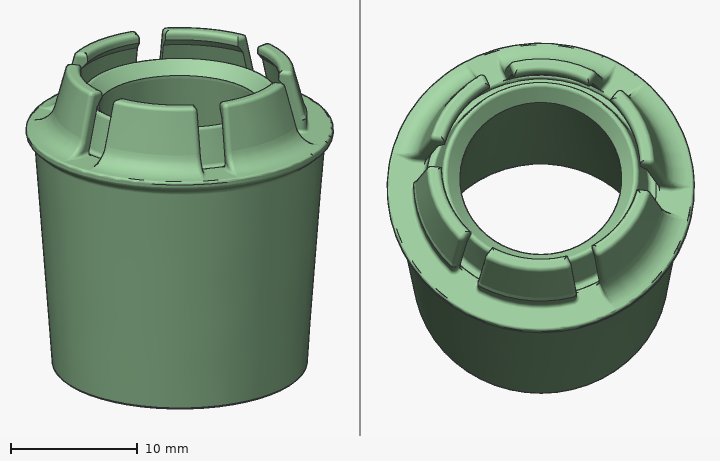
import cadquery as cq
import math

total_height = 25.0

body_top = 18.7
body_top_radius = 11.42
body_bottom_radius = 10.05
body_bottom_chamfer = 0.15

flange_top = 20.0
flange_radius = 12.1
flange_top_round = 0.2
rim_bottom = 19.55
underside_top = 19.32
underside_top_radius = 11.98
underside_bottom = 19.05
underside_bottom_radius = 11.65

bore_bottom_radius = 9.25
throat_radius = 6.38
throat_bottom = 21.6
throat_height = 0.25

wall_angle = math.radians(15)
ring_outer_radius = 8.48
ring_wall_top = 22.62
ring_mouth_radius = 7.25
groove_depth = 0.2
groove_fillet = 0.32
groove_lip_round = 0.25

tab_count = 6
slot_width = 2.12
tab_inner_radius = 9.35
tab_outer_radius = 10.25
tab_side_round = 0.35
tab_top_round = 0.35
tab_foot_fillet = 0.28
nose_radius = 7.82
nose_bottom = 24.3
nose_underside_bottom = 23.7

flare_radius = 1.9
flare_end_slope = math.radians(6)
flare_merge_radius = 11.88

trimmed_radius = 10.02
trimmed_wall_top = 21.12
trimmed_tabs = (1, 2)

level_tolerance = 0.002

tab_pitch = 360 / tab_count
tab_base = flange_top - 0.75
slab_bottom = flange_top - 0.15
slab_radius = flange_radius - flange_top_round
groove_floor = flange_top - groove_depth
cos_45 = math.sqrt(0.5)


def leaning_radius(base_radius, height):
    """Radius of a leaning wall that has base_radius on the flange plane."""
    return base_radius - math.tan(wall_angle) * (height - flange_top)


def revolve(profile):
    return profile.close().revolve(360, (0, 0, 0), (0, 1, 0))


def disc(radius, bottom, top):
    return cq.Workplane("XY").workplane(offset=bottom).circle(radius).extrude(top - bottom)


def make_body():
    top_round_start = flange_radius - flange_top_round
    top_round_mid = (
        top_round_start + flange_top_round * cos_45,
        flange_top - flange_top_round * (1 - cos_45),
    )
    lip_start = tab_inner_radius
    lip_end = lip_start - groove_lip_round
    lip_mid = (
        lip_start - groove_lip_round * cos_45,
        flange_top - groove_depth * (1 - cos_45),
    )
    setback = groove_fillet * math.tan((math.pi / 2 - wall_angle) / 2)
    fillet_start = leaning_radius(ring_outer_radius, groove_floor) + setback
    fillet_top = groove_floor + setback * math.cos(wall_angle)
    lead_in_top = throat_bottom + throat_height + ring_mouth_radius - throat_radius
    return revolve(
        cq.Workplane("XZ")
        .moveTo(bore_bottom_radius, 0)
        .lineTo(body_bottom_radius - body_bottom_chamfer, 0)
        .lineTo(body_bottom_radius, body_bottom_chamfer)
        .lineTo(body_top_radius, body_top)
        .tangentArcPoint((underside_bottom_radius, underside_bottom), relative=False)
        .lineTo(underside_top_radius, underside_top)
        .tangentArcPoint((flange_radius, rim_bottom), relative=False)
        .lineTo(flange_radius, flange_top - flange_top_round)
        .threePointArc(top_round_mid, (top_round_start, flange_top))
        .lineTo(lip_start, flange_top)
        .threePointArc(lip_mid, (lip_end, groove_floor))
        .lineTo(fillet_start, groove_floor)
        .tangentArcPoint((leaning_radius(ring_outer_radius, fillet_top), fillet_top), relative=False)
        .lineTo(leaning_radius(ring_outer_radius, ring_wall_top), ring_wall_top)
        .tangentArcPoint((ring_mouth_radius, lead_in_top), relative=False)
        .lineTo(throat_radius, throat_bottom + throat_height)
        .lineTo(throat_radius, throat_bottom)
    )


def add_flared_side(profile):
    """Outer side of a tab whose foot sweeps out over the flange."""
    end_angle = math.pi / 2 - flare_end_slope
    flare_height = flare_radius * (1 - math.sin(wall_angle))
    start_z = flange_top + flare_height
    start_r = leaning_radius(tab_outer_radius, start_z)
    end_r = start_r + flare_radius * (math.cos(wall_angle) - math.cos(end_angle))
    end_z = flange_top + (flare_merge_radius - end_r) * math.tan(flare_end_slope)
    runout_r = flange_radius + 1.0
    runout_z = flange_top - (runout_r - flare_merge_radius) * math.tan(flare_end_slope)
    return (
        profile
        .lineTo(start_r, start_z)
        .tangentArcPoint((end_r, end_z), relative=False)
        .lineTo(runout_r, runout_z)
        .lineTo(runout_r, tab_base)
    )


def add_trimmed_side(profile):
    """Outer side of a tab that drops straight to the flange."""
    blend_top = flange_top + flare_radius * (1 - math.sin(wall_angle))
    return (
        profile
        .lineTo(leaning_radius(tab_outer_radius, blend_top), blend_top)
        .lineTo(trimmed_radius, trimmed_wall_top)
        .lineTo(trimmed_radius, tab_base)
    )


def make_tab_ring(add_outer_side):
    """Full ring with the cross-section of a tab, snap nose included."""
    profile = (
        cq.Workplane("XZ")
        .moveTo(leaning_radius(tab_inner_radius, tab_base), tab_base)
        .lineTo(leaning_radius(tab_inner_radius, nose_underside_bottom), nose_underside_bottom)
        .lineTo(nose_radius, nose_bottom)
        .lineTo(nose_radius, total_height)
        .lineTo(leaning_radius(tab_outer_radius, total_height), total_height)
    )
    return revolve(add_outer_side(profile))


def make_sector():
    """Wedge whose sides lie half a slot width away from the slot centre planes."""
    half_angle = math.radians(tab_pitch / 2)
    apex = slot_width / 2 / math.sin(half_angle)
    far_x = 2 * flange_radius
    far_y = (far_x - apex) * math.tan(half_angle)
    return (
        cq.Workplane("XY").workplane(offset=tab_base)
        .polyline([(apex, 0), (far_x, far_y), (far_x, -far_y)]).close()
        .extrude(total_height - tab_base)
    )


def round_tab_edges(tab):
    """Round the outer edges of both sides, then the edges of the top."""
    def is_side(face):
        return face.geomType() == "PLANE" and abs(face.normalAt().y) > 0.5

    def is_outer(edge):
        point = edge.Center()
        inner_wall = leaning_radius(tab_inner_radius, point.z)
        is_level = edge.BoundingBox().zlen < level_tolerance
        return not is_level and math.hypot(point.x, point.y) > inner_wall + tab_side_round

    side_faces = [face for face in tab.faces().vals() if is_side(face)]
    outer_edges = [edge for face in side_faces for edge in face.Edges() if is_outer(edge)]
    tab = tab.newObject(outer_edges).fillet(tab_side_round)
    return tab.faces(">Z").edges().fillet(tab_top_round)


def make_tab(add_outer_side):
    sector = make_sector()
    tab = round_tab_edges(make_tab_ring(add_outer_side).intersect(sector))

    filler_top = flange_top + 2 * tab_foot_fillet
    filler = sector.intersect(disc(tab_inner_radius, tab_base, filler_top))
    tab = tab.union(filler).intersect(disc(slab_radius, slab_bottom, total_height))
    tab = tab.union(disc(slab_radius, slab_bottom, flange_top))

    foot_edges = [
        edge for edge in tab.edges("%LINE").vals()
        if edge.BoundingBox().zlen < level_tolerance
        and abs(edge.Center().z - flange_top) < level_tolerance
    ]
    tab = tab.newObject(foot_edges).fillet(tab_foot_fillet)

    cavity = revolve(
        cq.Workplane("XZ")
        .moveTo(0, tab_base)
        .lineTo(leaning_radius(tab_inner_radius, tab_base), tab_base)
        .lineTo(leaning_radius(tab_inner_radius, filler_top), filler_top)
        .lineTo(0, filler_top)
    )
    return tab.cut(cavity)


flared_tab = make_tab(add_flared_side)
trimmed_tab = make_tab(add_trimmed_side)

result = make_body()
for index in range(tab_count):
    tab = trimmed_tab if index in trimmed_tabs else flared_tab
    result = result.union(tab.rotate((0, 0, 0), (0, 0, 1), index * tab_pitch))